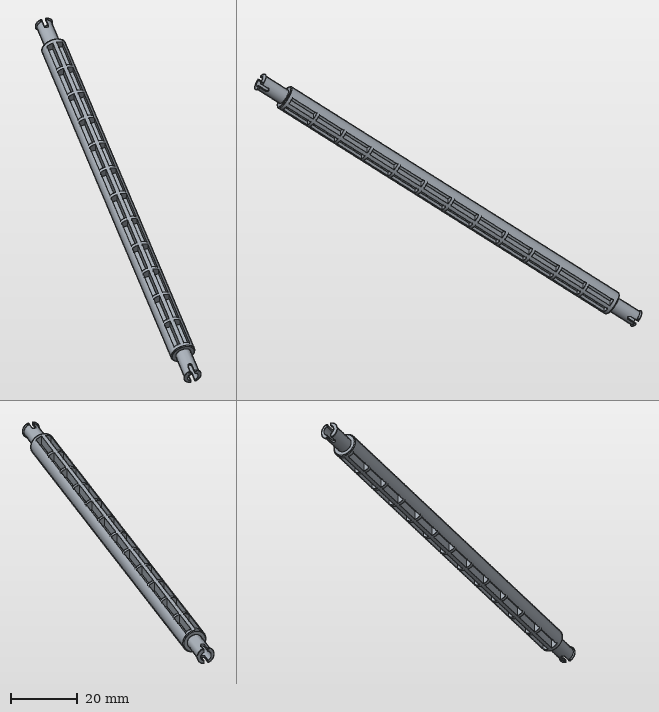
import cadquery as cq

total_length = 140.0
tip_x = total_length / 2
body_diameter = 7.5
body_chamfer = 0.3
journal_length = 9.1
journal_diameter = 4.8
body_length = total_length - 2 * journal_length

bore_diameter = 3.4

lip_diameter = 5.5
lip_length = lip_diameter - journal_diameter

slot_width = 1.3
slot_depth = 3.4

pocket_count = 12
end_margin = 1.4
web_thickness = 1.0
rib_thickness = 1.3
pocket_width = 1.8
pocket_floor_height = 0.7
pocket_pitch = (body_length - 2 * end_margin + web_thickness) / pocket_count
pocket_length = pocket_pitch - web_thickness
row_spacing = rib_thickness + pocket_width


def rod(diameter, length):
    """Cylinder along X, centred on the origin."""
    return cq.Workplane("YZ").circle(diameter / 2).extrude(length / 2, both=True)


def snap_lip():
    """Half-round bead at the +X tip, trimmed flat above and below to the journal height."""
    root_x = tip_x - lip_length
    crest = (tip_x - lip_length / 2, lip_diameter / 2)
    bead = (
        cq.Workplane("XY")
        .moveTo(root_x, 0)
        .lineTo(root_x, journal_diameter / 2)
        .threePointArc(crest, (tip_x, journal_diameter / 2))
        .lineTo(tip_x, 0)
        .close()
        .revolve(360, (0, 0, 0), (1, 0, 0))
    )
    trim_block = cq.Workplane("XY").box(total_length, lip_diameter, journal_diameter)
    return bead.intersect(trim_block)


def tip_cuts():
    """Blind bore and round-ended vertical slot at the +X tip."""
    shoulder = cq.Workplane("YZ", origin=(body_length / 2, 0, 0))
    bore = shoulder.circle(bore_diameter / 2).extrude(journal_length)
    slot = (
        cq.Workplane("XY", origin=(tip_x, 0, 0))
        .slot2D(2 * slot_depth, slot_width)
        .extrude(lip_diameter, both=True)
    )
    return bore.union(slot)


def pockets():
    """All pockets in the upper half of the body."""
    return (
        cq.Workplane("XY", origin=(0, 0, pocket_floor_height))
        .rarray(pocket_pitch, row_spacing, pocket_count, 2)
        .rect(pocket_length, pocket_width)
        .extrude(body_diameter)
    )


body = rod(body_diameter, body_length).faces("<X or >X").chamfer(body_chamfer)
journals = rod(journal_diameter, total_length)
right_lip = snap_lip()
right_cuts = tip_cuts()
upper_pockets = pockets()

result = (
    body.union(journals)
    .union(right_lip)
    .union(right_lip.mirror("YZ"))
    .cut(right_cuts)
    .cut(right_cuts.mirror("YZ"))
    .cut(upper_pockets)
    .cut(upper_pockets.mirror("XY"))
)